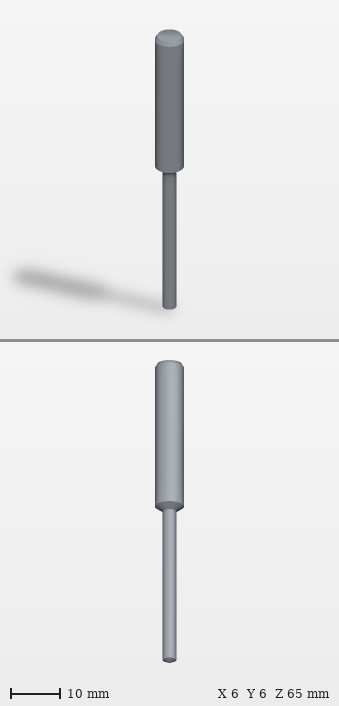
import cadquery as cq
import math

overall_length = 65.0
shank_diameter = 6.0
cutter_diameter = 2.85
reach = 33.0
neck_height = 1.1
point_angle = 130.0
end_chamfer = 0.5
end_chamfer_angle = 30.0

shank_radius = shank_diameter / 2
cutter_radius = cutter_diameter / 2
point_height = cutter_radius / math.tan(math.radians(point_angle / 2))
end_chamfer_height = end_chamfer / math.tan(math.radians(end_chamfer_angle))


def revolve_about_z(profile):
    """Revolve a closed (radius, height) outline a full turn about Z."""
    half_section = cq.Workplane("XZ").polyline(profile).close()
    return half_section.revolve(360, (0, 0, 0), (0, 1, 0))


def make_shank():
    """Clamping shank: conical neck, plain cylinder and chamfered top end."""
    return revolve_about_z([
        (0, reach),
        (cutter_radius, reach),
        (shank_radius, reach + neck_height),
        (shank_radius, overall_length - end_chamfer_height),
        (shank_radius - end_chamfer, overall_length),
        (0, overall_length),
    ])


def make_cutter():
    """Slim cutter with a conical point, butted against the neck."""
    return revolve_about_z([
        (0, 0),
        (cutter_radius, point_height),
        (cutter_radius, reach),
        (0, reach),
    ])


shank = make_shank()
cutter = make_cutter()

result = cq.Compound.makeCompound([shank.val(), cutter.val()])